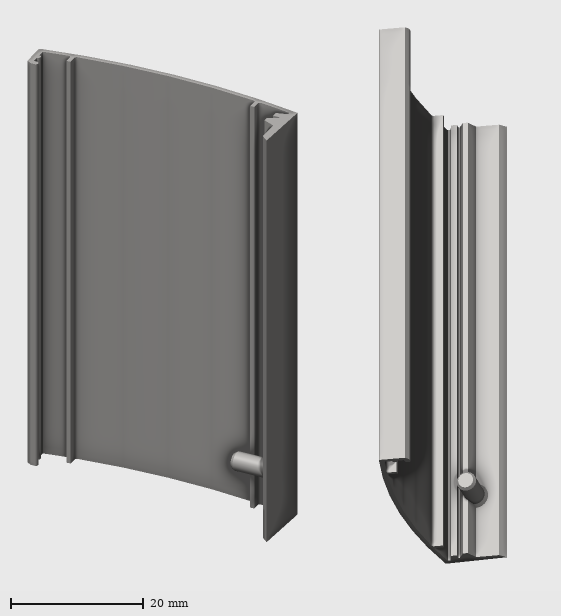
import cadquery as cq
import math

LENGTH = 70.0
WIDTH = 43.6
DEPTH = 11.75

CREST_X = 21.15
BOW_RADIUS = 119.0
WEB_THICKNESS = 0.8

LEFT_WALL = 0.9
HOOK_REACH = 1.8
HOOK_BOTTOM = -6.45
HOOK_THICKNESS = 0.85
HOOK_BEVEL_WIDTH = 0.8
HOOK_BEVEL_HEIGHT = 0.5
HOOK_TIP_RADIUS = 0.35
BUMP_Y = -4.1
BUMP_HALF_WIDTH = 0.4
BUMP_HEIGHT = 0.4
TOP_EDGE_RADIUS = 0.3

RIB_OFFSET = 15.5
RIB_WIDTH = 0.7
RIB_BOTTOM = -3.4
RIB_ROOT_RADIUS = 0.35

FLANGE_TIP_X = 43.1
FLANGE_INNER_X = 42.0
FLANGE_BEVEL_Y = -10.8
CORNER_X = 42.5
CORNER_Y = -3.15
UPPER_TOOTH_X = 40.7
UPPER_TOOTH_TOP = -3.65
UPPER_TOOTH_BOTTOM = -4.55
NOTCH_X = 41.7
NOTCH_Y = -4.75
LOWER_TOOTH_X = 40.1
LOWER_TOOTH_TOP = -5.6
LOWER_TOOTH_BOTTOM = -6.4
LOWER_TOOTH_ROOT = -7.2

PIN_DIAMETER = 3.0
HEAD_DIAMETER = 6.0
HEAD_LENGTH = 1.9
PIN_END_X = 35.35
PIN_Y = -7.15
PIN_Z = 9.95
PIN_CHAMFER_LENGTH = 0.5
PIN_CHAMFER_DEPTH = 0.35


def bow_y(x, inset=0.0):
    """Height of the bow at x, on the arc lying inset below the outer face."""
    radius = BOW_RADIUS - inset
    return math.sqrt(radius**2 - (x - CREST_X) ** 2) - BOW_RADIUS


LEFT_TOP = bow_y(0)
RIGHT_TOP = bow_y(WIDTH)


def flange_outer_x(y):
    """X of the leaning outer face of the right wall at height y."""
    return WIDTH + (FLANGE_TIP_X - WIDTH) * (RIGHT_TOP - y) / (RIGHT_TOP + DEPTH)


def make_profile_walls():
    """Web, hooked left wall and toothed right wall as one extrusion."""
    hook_top = HOOK_BOTTOM + HOOK_THICKNESS
    return (
        cq.Workplane("XY")
        .moveTo(0, LEFT_TOP)
        .threePointArc((CREST_X, 0), (WIDTH, RIGHT_TOP))
        .lineTo(FLANGE_TIP_X, -DEPTH)
        .lineTo(FLANGE_INNER_X, FLANGE_BEVEL_Y)
        .lineTo(FLANGE_INNER_X, LOWER_TOOTH_ROOT)
        .lineTo(LOWER_TOOTH_X, LOWER_TOOTH_BOTTOM)
        .lineTo(LOWER_TOOTH_X, LOWER_TOOTH_TOP)
        .lineTo(NOTCH_X, NOTCH_Y)
        .lineTo(NOTCH_X, UPPER_TOOTH_BOTTOM)
        .lineTo(UPPER_TOOTH_X, UPPER_TOOTH_BOTTOM)
        .lineTo(UPPER_TOOTH_X, UPPER_TOOTH_TOP)
        .lineTo(CORNER_X, CORNER_Y)
        .lineTo(CORNER_X, bow_y(CORNER_X, WEB_THICKNESS))
        .threePointArc((CREST_X, -WEB_THICKNESS), (LEFT_WALL, bow_y(LEFT_WALL, WEB_THICKNESS)))
        .lineTo(LEFT_WALL, BUMP_Y + BUMP_HALF_WIDTH)
        .threePointArc((LEFT_WALL + BUMP_HEIGHT, BUMP_Y), (LEFT_WALL, BUMP_Y - BUMP_HALF_WIDTH))
        .lineTo(LEFT_WALL, hook_top)
        .lineTo(HOOK_REACH, hook_top)
        .lineTo(HOOK_REACH, HOOK_BOTTOM)
        .lineTo(HOOK_BEVEL_WIDTH, HOOK_BOTTOM)
        .lineTo(0, HOOK_BOTTOM + HOOK_BEVEL_HEIGHT)
        .close()
        .extrude(LENGTH)
    )


def vertical_edge(x, y):
    """Selector for the lengthwise edge through (x, y)."""
    return cq.selectors.NearestToPointSelector((x, y, LENGTH / 2))


def round_left_wall(body):
    body = body.edges(vertical_edge(0, LEFT_TOP)).fillet(TOP_EDGE_RADIUS)
    for tip_y in (HOOK_BOTTOM, HOOK_BOTTOM + HOOK_THICKNESS):
        body = body.edges(vertical_edge(HOOK_REACH, tip_y)).fillet(HOOK_TIP_RADIUS)
    return body


def add_ribs(body):
    """Two lengthwise ribs with filleted roots."""
    for rib_x in (CREST_X - RIB_OFFSET, CREST_X + RIB_OFFSET):
        rib_top = bow_y(rib_x, WEB_THICKNESS / 2)
        rib = (
            cq.Workplane("XY")
            .center(rib_x, (rib_top + RIB_BOTTOM) / 2)
            .rect(RIB_WIDTH, rib_top - RIB_BOTTOM)
            .extrude(LENGTH)
        )
        body = body.union(rib)
        for side_x in (rib_x - RIB_WIDTH / 2, rib_x + RIB_WIDTH / 2):
            root_y = bow_y(side_x, WEB_THICKNESS)
            body = body.edges(vertical_edge(side_x, root_y)).fillet(RIB_ROOT_RADIUS)
    return body


def make_pin():
    """Pin with a chamfered end and a conical head trimmed flush to the leaning outer face."""
    pin_radius = PIN_DIAMETER / 2
    head_radius = HEAD_DIAMETER / 2
    head_x = flange_outer_x(PIN_Y)
    cone_start_x = head_x - HEAD_LENGTH
    head_slope = (head_radius - pin_radius) / HEAD_LENGTH
    blank = (
        cq.Workplane("XY")
        .moveTo(PIN_END_X, 0)
        .lineTo(PIN_END_X, pin_radius - PIN_CHAMFER_DEPTH)
        .lineTo(PIN_END_X + PIN_CHAMFER_LENGTH, pin_radius)
        .lineTo(cone_start_x, pin_radius)
        .lineTo(WIDTH, pin_radius + head_slope * (WIDTH - cone_start_x))
        .lineTo(WIDTH, 0)
        .close()
        .revolve(360, (0, 0, 0), (1, 0, 0))
        .translate((0, PIN_Y, PIN_Z))
    )
    outer_margin = WIDTH + HEAD_DIAMETER
    outside_wall = (
        cq.Workplane("XY")
        .moveTo(flange_outer_x(0), 0)
        .lineTo(outer_margin, 0)
        .lineTo(outer_margin, -2 * DEPTH)
        .lineTo(flange_outer_x(-2 * DEPTH), -2 * DEPTH)
        .close()
        .extrude(LENGTH)
    )
    return blank.cut(outside_wall)


pin = make_pin()
profile = add_ribs(round_left_wall(make_profile_walls())).cut(pin)

result = cq.Compound.makeCompound([profile.solids().val(), pin.solids().val()])